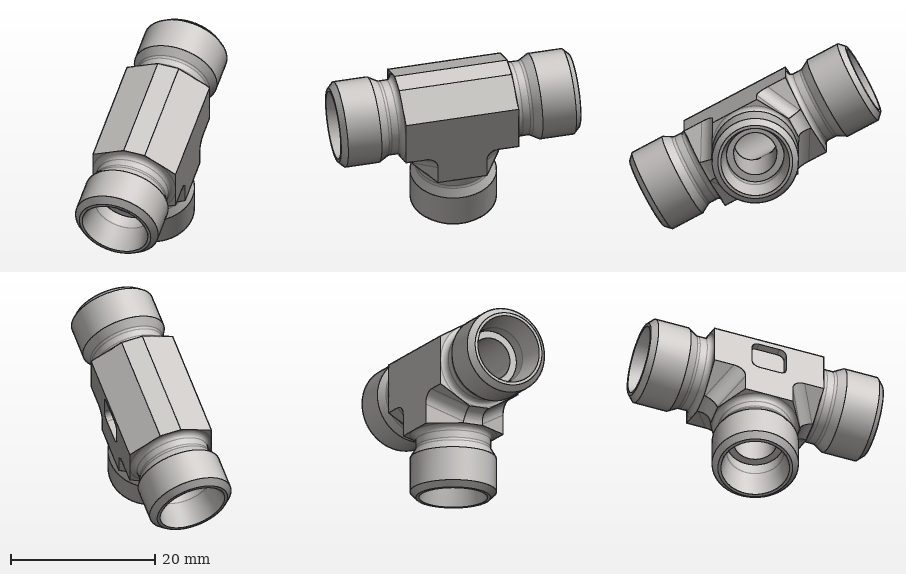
import cadquery as cq
import math

end_reach = 34.0 / 2
outer_radius = 12.0 / 2
block_reach = 8.0
crown_height = 6.05
branch_fillet = 2.0

neck_radius = 10.4 / 2
root_fillet = outer_radius - neck_radius
shoulder_start = 11.42
shoulder_angle = 30.0
shoulder_blend = 0.8
tip_chamfer = 0.8

bore_radius = 6.0 / 2
socket_radius = 8.0 / 2
socket_depth = 5.5
mouth_radius = 4.75
cone_half_angle = 12.0

recess_side = 5.0
recess_corner = 1.02
recess_depth = 1.0

EDGE_TOLERANCE = 0.005


def is_inner_edge(edge):
    """True for the edges where run and branch meet, on the lower diagonals of the YZ plane."""
    centre = edge.Center()
    on_diagonal = math.isclose(abs(centre.y), -centre.z, abs_tol=EDGE_TOLERANCE)
    between_flats = abs(centre.x) < outer_radius - EDGE_TOLERANCE
    return on_diagonal and between_flats


def blended_bars(section):
    """Run and branch bars of one section, overlong, with the corners between them filleted."""
    overlong = 2 * block_reach
    run = cq.Workplane("XZ").polyline(section).close().extrude(overlong, both=True)
    branch = cq.Workplane("XY").polyline(section).close().extrude(-overlong)
    tee = run.union(branch)
    inner_edges = [edge for edge in tee.edges().vals() if is_inner_edge(edge)]
    return tee.newObject(inner_edges).fillet(branch_fillet)


def make_block():
    """Hexagonal tee body: the overlap of bars carrying the crowns and the slopes of either side."""
    right, left = outer_radius, -outer_radius
    hexagon_corner = 2 * outer_radius / math.sqrt(3)
    low_side = hexagon_corner - outer_radius / math.sqrt(3)
    high_side = hexagon_corner + outer_radius / math.sqrt(3)
    crown_section = [
        (right, crown_height), (left, crown_height), (left, -crown_height), (right, -crown_height),
    ]
    slope_section = [(right, low_side), (left, high_side), (left, -high_side), (right, -low_side)]

    crowned = blended_bars(crown_section)
    sloped = blended_bars(slope_section)
    envelope = cq.Workplane("XY").box(2 * block_reach, 2 * block_reach, 2 * block_reach)
    return crowned.intersect(sloped).intersect(sloped.mirror("YZ")).intersect(envelope)


def revolve_from_centre(profile):
    """Revolve an (axial, radial) outline about the local X axis."""
    return profile.close().revolve(360, (0, 0), (1, 0))


def make_spigot():
    """Solid spigot along +X, with neck, thread run-out and end chamfer."""
    slope = math.radians(shoulder_angle)
    blend_length = shoulder_blend * math.tan(slope / 2)
    bend = shoulder_start - (outer_radius - neck_radius) / math.tan(slope)
    blend_end = (
        bend + blend_length * math.cos(slope),
        neck_radius + blend_length * math.sin(slope),
    )
    blend_middle = (
        bend - blend_length + shoulder_blend * math.sin(slope / 2),
        neck_radius + shoulder_blend * (1 - math.cos(slope / 2)),
    )
    diagonal = root_fillet * math.sqrt(0.5)
    profile = (
        cq.Workplane("XY")
        .moveTo(block_reach, 0)
        .lineTo(block_reach, outer_radius)
        .threePointArc(
            (block_reach + root_fillet - diagonal, outer_radius - diagonal),
            (block_reach + root_fillet, neck_radius),
        )
        .lineTo(bend - blend_length, neck_radius)
        .threePointArc(blend_middle, blend_end)
        .lineTo(shoulder_start, outer_radius)
        .lineTo(end_reach - tip_chamfer, outer_radius)
        .lineTo(end_reach, outer_radius - tip_chamfer)
        .lineTo(end_reach, 0)
    )
    return revolve_from_centre(profile)


def make_bore():
    """Through bore, tube socket and sealing cone along +X, starting at the tee centre."""
    cone_depth = (mouth_radius - socket_radius) / math.tan(math.radians(cone_half_angle))
    profile = (
        cq.Workplane("XY")
        .lineTo(0, bore_radius)
        .lineTo(end_reach - socket_depth, bore_radius)
        .lineTo(end_reach - socket_depth, socket_radius)
        .lineTo(end_reach - cone_depth, socket_radius)
        .lineTo(end_reach, mouth_radius)
        .lineTo(end_reach, 0)
    )
    return revolve_from_centre(profile)


def on_each_port(shape):
    """Copies of a shape built along +X, turned to the +Y, -Y and -Z ports."""
    return [
        shape.rotate((0, 0, 0), (0, 0, 1), 90),
        shape.rotate((0, 0, 0), (0, 0, 1), -90),
        shape.rotate((0, 0, 0), (0, 1, 0), 90),
    ]


def make_recess():
    """Shallow square pocket with rounded corners, centred on the -X flat."""
    return (
        cq.Workplane("YZ")
        .workplane(offset=-outer_radius)
        .rect(recess_side, recess_side)
        .extrude(recess_depth)
        .edges("|X")
        .fillet(recess_corner)
    )


result = make_block()
for spigot in on_each_port(make_spigot()):
    result = result.union(spigot)
for bore in on_each_port(make_bore()):
    result = result.cut(bore)
result = result.cut(make_recess())